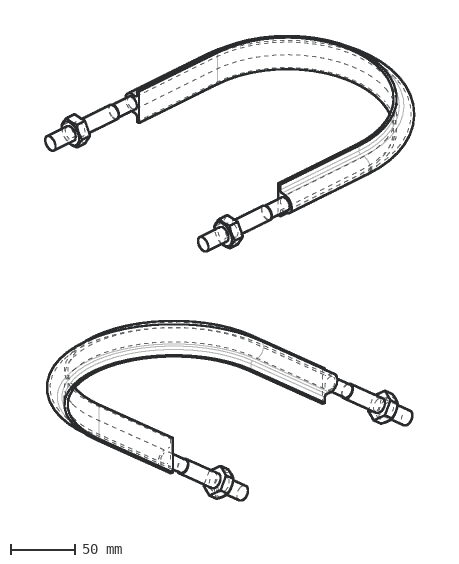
import cadquery as cq
import math

shank_diameter = 11.2
thread_diameter = 12.5
leg_length = 165.15
thread_length = 65.3

liner_inner_radius = 82.6
liner_wall = 2.5
liner_height = 30.0
liner_leg_length = 81.0
hump_root_fillet = 2.0

nut_across_flats = 21.5
nut_height = 9.5
nut_tip_gap = 20.7
nut_chamfer_diameter = 20.2
nut_chamfer_angle = 30.0

flange_outer_radius = liner_inner_radius + liner_wall
shank_radius = shank_diameter / 2
bend_radius = flange_outer_radius + shank_radius
hump_radius = shank_radius + liner_wall
nut_across_corners = nut_across_flats / math.cos(math.radians(30))


def u_path(radius, straight_length):
    """U-shaped centre line: half a circle about Z with a straight leg along -Y at each end."""
    return (
        cq.Workplane("XY")
        .moveTo(radius, -straight_length)
        .lineTo(radius, 0)
        .threePointArc((0, radius), (-radius, 0))
        .lineTo(-radius, -straight_length)
    )


def cylinder_along_leg(x, y_start, length, diameter):
    """Cylinder on a leg axis, running from y_start towards -Y."""
    start = cq.Workplane("XZ", origin=(x, y_start, 0))
    return start.circle(diameter / 2).extrude(length)


def make_u_bolt():
    shank_leg = leg_length - thread_length
    shank_start = cq.Workplane("XZ", origin=(bend_radius, -shank_leg, 0))
    bolt = shank_start.circle(shank_radius).sweep(u_path(bend_radius, shank_leg))
    for x in (-bend_radius, bend_radius):
        thread = cylinder_along_leg(x, thread_length - leg_length, thread_length, thread_diameter)
        bolt = bolt.union(thread)
    return bolt


def make_liner(u_bolt):
    half_height = liner_height / 2
    root_x = flange_outer_radius + hump_root_fillet
    root_z = hump_radius + hump_root_fillet
    section = (
        cq.Workplane("XZ", origin=(0, -liner_leg_length, 0))
        .moveTo(liner_inner_radius, -half_height)
        .lineTo(flange_outer_radius, -half_height)
        .lineTo(flange_outer_radius, -root_z)
        .radiusArc((root_x, -hump_radius), hump_root_fillet)
        .lineTo(bend_radius, -hump_radius)
        .threePointArc((bend_radius + hump_radius, 0), (bend_radius, hump_radius))
        .lineTo(root_x, hump_radius)
        .radiusArc((flange_outer_radius, root_z), hump_root_fillet)
        .lineTo(flange_outer_radius, half_height)
        .lineTo(liner_inner_radius, half_height)
        .close()
    )
    return section.sweep(u_path(bend_radius, liner_leg_length)).cut(u_bolt)


def make_nut(x):
    tip_face = nut_tip_gap - leg_length
    blank = (
        cq.Workplane("XZ", origin=(x, tip_face + nut_height, 0))
        .polygon(6, nut_across_corners)
        .extrude(nut_height)
    )
    corner_radius = nut_across_corners / 2
    chamfer_radius = nut_chamfer_diameter / 2
    chamfer_depth = (corner_radius - chamfer_radius) * math.tan(math.radians(nut_chamfer_angle))
    envelope = (
        cq.Workplane("XZ", origin=(x, tip_face + nut_height, 0))
        .circle(corner_radius)
        .extrude(nut_height)
        .faces("<Y")
        .chamfer(chamfer_depth, corner_radius - chamfer_radius)
    )
    bore = cylinder_along_leg(x, tip_face + nut_height, nut_height, thread_diameter)
    return blank.intersect(envelope).cut(bore)


u_bolt = make_u_bolt()
liner = make_liner(u_bolt)
nuts = [make_nut(x) for x in (-bend_radius, bend_radius)]

result = cq.Compound.makeCompound([u_bolt.val(), liner.val(), *[nut.val() for nut in nuts]])